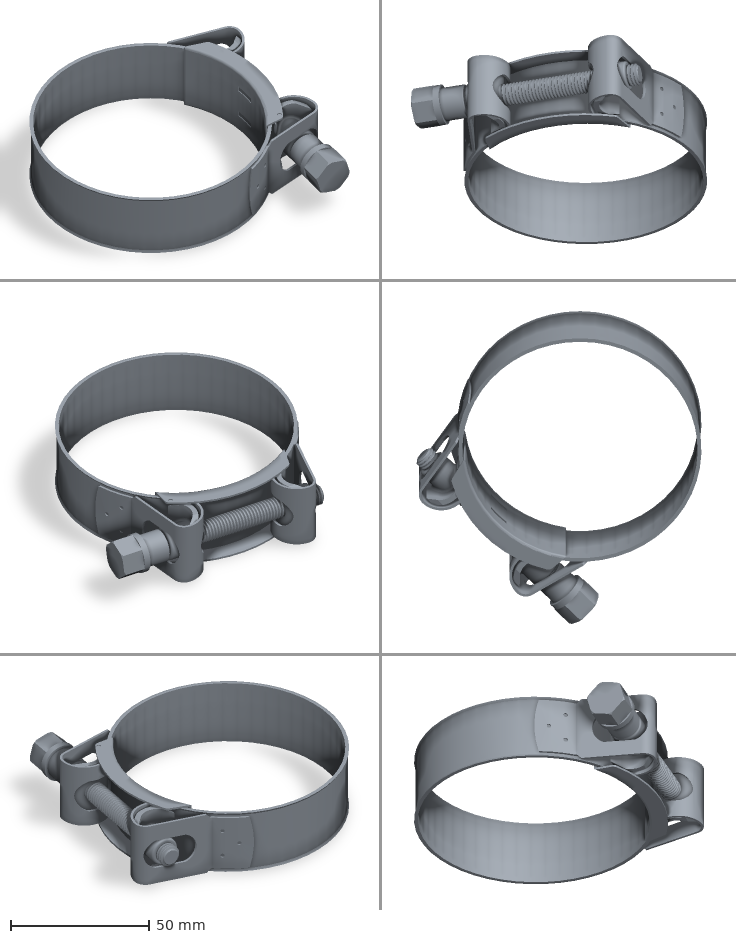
import cadquery as cq
import math

SHEET = 0.9
RING_INNER_R = 42.5
RING_OUTER_R = RING_INNER_R + SHEET
BAND_WIDTH = 25.0
LIP_FLARE = 0.5
LIP_HEIGHT = 0.9

LOOP_OUTER_R = 9.5
LOOP_INNER_R = LOOP_OUTER_R - SHEET
SMALL_OUTER_R = 4.6
SMALL_INNER_R = SMALL_OUTER_R - SHEET
LEG_TILT = 12.0
AXIS_Y = 45.9
LOOP_X = math.sqrt((RING_OUTER_R + LOOP_INNER_R) ** 2 - AXIS_Y ** 2)

TAIL_HALF_WIDTH = 10.9
TAIL_CORNER_Y = 16.7
TAIL_TIP_Y = 15.2
EAR_CHAMFER_TOP_Y = 30.3
EAR_CHAMFER_END_Y = 28.8
WELD_R = 0.8
WELD_DEPTH = 0.5
WELDS = [(25.3, 5.3), (25.3, -5.3), (20.1, 0.0)]

NUT_SLOT_WIDTH = 11.7
SPACER_SLOT_WIDTH = 12.9
LEG_SLOT_LOW_Y = 34.1
LEG_SLOT_HIGH_Y = 53.8
SLOT_END_RISE = 4.2

BRIDGE_SHEET = 0.8
BRIDGE_WIDTH = 27.6
BRIDGE_CENTER_Y = -2.7
BRIDGE_INNER_R = 43.7
BRIDGE_BEND_R = 1.0
FLANGE_OUTER_R = 47.8
FLANGE_LEFT_TOP_X = -24.1
FLANGE_LEFT_END_X = -26.9
FLANGE_RIGHT_TOP_X = 26.0
FLANGE_RIGHT_END_X = 26.4
FLANGE_CORNER_R = 2.0
BRIDGE_END_Y = 32.5
RECESS_LENGTH = 8.1
RECESS_HEIGHT = 2.0
RECESS_DEPTH = 0.3
RECESS_Z = 5.9
DIMPLE_X = 24.0
DIMPLE_Y = 39.9
DIMPLE_R = 0.9
DIMPLE_DEPTH = 0.4

SADDLE_FACE_X = 17.2
SADDLE_FACE_TIP_X = 21.2
SADDLE_BACK_X = 19.1
SADDLE_BACK_TIP_X = 24.2
SADDLE_BACK_KNEE_X = 21.3
SADDLE_BACK_KNEE = 4.9
SADDLE_HALF_LENGTH = 7.7
SADDLE_HALF_WIDTH = 11.9
NUT_SADDLE_FLAT = 5.0
SPACER_SADDLE_FLAT = 3.5
SADDLE_CHAMFER_TILT = 22.0
BOSS_END_X = 30.1
NUT_BOSS_END_D = 10.7
NUT_BOSS_ROOT_D = 11.2
SPACER_BOSS_D = 12.2
BOSS_ROUND = 0.8
BOSS_ROOT_FILLET = 0.8

THREAD_D = 7.9
THREAD_ROOT_D = 6.5
THREAD_START_X = -34.2
THREAD_LENGTH = 52.1
THREAD_TURNS = 42
THREAD_PITCH = THREAD_LENGTH / THREAD_TURNS
TIP_D = 5.8
SHOULDER_START_X = 30.8
SHOULDER_D = 12.1
SHOULDER_CHAMFER = 0.3
FLANGE_START_X = 39.5
BOLT_FLANGE_D = 14.6
HEX_START_X = 41.9
HEX_END_X = 50.1
HEX_ACROSS_FLATS = 13.1
HEX_TURN = 15.0
HEX_CHAMFER = 0.6


def polar(radius, degrees, center=(0.0, 0.0)):
    angle = math.radians(degrees)
    return (center[0] + radius * math.cos(angle), center[1] + radius * math.sin(angle))


def extrude_both(sketch, width):
    """Extrude a sketch symmetrically about its plane."""
    return sketch.extrude(width / 2, both=True)


LOOP_CENTER = (-LOOP_X, AXIS_Y)
ROOT_ANGLE = math.degrees(math.atan2(AXIS_Y, -LOOP_X))
LEG_NORMAL = 180.0 - LEG_TILT


def leg_point(start, radius):
    """Point where the leg line through start, running down its slope, reaches the radius."""
    step_x, step_y = polar(1.0, LEG_NORMAL + 90.0)
    along = start[0] * step_x + start[1] * step_y
    length = -along - math.sqrt(along ** 2 - start[0] ** 2 - start[1] ** 2 + radius ** 2)
    return (start[0] + length * step_x, start[1] + length * step_y)


def ring_sector(inner_r, outer_r, start, end, width):
    """Part of a ring around Z between two angles in degrees."""
    middle = (start + end) / 2
    sketch = (
        cq.Workplane("XY")
        .moveTo(*polar(inner_r, start))
        .lineTo(*polar(outer_r, start))
        .threePointArc(polar(outer_r, middle), polar(outer_r, end))
        .lineTo(*polar(inner_r, end))
        .threePointArc(polar(inner_r, middle), polar(inner_r, start))
        .close()
    )
    return extrude_both(sketch, width)


def make_ring():
    """Open ring with flared rims; the gap lies between the loop roots."""
    half = BAND_WIDTH / 2
    section = [
        (RING_INNER_R, -half),
        (RING_OUTER_R + LIP_FLARE, -half),
        (RING_OUTER_R, -half + LIP_HEIGHT),
        (RING_OUTER_R, half - LIP_HEIGHT),
        (RING_OUTER_R + LIP_FLARE, half),
        (RING_INNER_R, half),
    ]
    opening = 2 * ROOT_ANGLE - 180.0
    ring = cq.Workplane("XZ").polyline(section).close().revolve(360 - opening, (0, 0), (0, 1))
    return ring.rotate((0, 0, 0), (0, 0, 1), ROOT_ANGLE)


def slot_cutter(low_y, high_y, width, start_x, length):
    """Slot along X with arched ends."""
    half = width / 2
    sketch = (
        cq.Workplane("YZ", origin=(start_x, 0, 0))
        .moveTo(low_y + SLOT_END_RISE, -half)
        .lineTo(high_y - SLOT_END_RISE, -half)
        .threePointArc((high_y, 0), (high_y - SLOT_END_RISE, half))
        .lineTo(low_y + SLOT_END_RISE, half)
        .threePointArc((low_y, 0), (low_y + SLOT_END_RISE, -half))
        .close()
    )
    return sketch.extrude(length)


def loop_strip():
    """Arcs and leg of the left loop, as a strip of full band width."""
    small_center = (-LOOP_X, AXIS_Y + LOOP_OUTER_R - SMALL_OUTER_R)
    root = ROOT_ANGLE - 180.0
    leg_top_outer = polar(SMALL_OUTER_R, LEG_NORMAL, small_center)
    leg_top_inner = polar(SMALL_INNER_R, LEG_NORMAL, small_center)
    shoulder = (90.0 + LEG_NORMAL) / 2
    foot_r = RING_INNER_R + SHEET / 2
    sketch = (
        cq.Workplane("XY")
        .moveTo(*polar(LOOP_OUTER_R, root, LOOP_CENTER))
        .threePointArc(polar(LOOP_OUTER_R, 0, LOOP_CENTER), polar(LOOP_OUTER_R, 90, LOOP_CENTER))
        .threePointArc(polar(SMALL_OUTER_R, shoulder, small_center), leg_top_outer)
        .lineTo(*leg_point(leg_top_outer, foot_r))
        .lineTo(*leg_point(leg_top_inner, foot_r))
        .lineTo(*leg_top_inner)
        .threePointArc(polar(SMALL_INNER_R, shoulder, small_center), polar(LOOP_INNER_R, 90, LOOP_CENTER))
        .threePointArc(polar(LOOP_INNER_R, 0, LOOP_CENTER), polar(LOOP_INNER_R, root, LOOP_CENTER))
        .close()
    )
    tail_r = RING_OUTER_R + SHEET
    foot_x, foot_y = leg_point(leg_top_outer, tail_r)
    tail_start = math.degrees(math.atan2(foot_y, foot_x))
    tail_end = 180.0 - math.degrees(math.asin((TAIL_TIP_Y - SHEET) / tail_r))
    tail = ring_sector(RING_OUTER_R, tail_r, tail_start, tail_end, BAND_WIDTH)
    return extrude_both(sketch, BAND_WIDTH).union(tail)


def ear_outline():
    """Block along X that trims the loop to full width and its tail to a narrow rounded tongue."""
    half = BAND_WIDTH / 2
    top_y = AXIS_Y + 2 * LOOP_OUTER_R
    sketch = (
        cq.Workplane("YZ", origin=(-2 * RING_OUTER_R, 0, 0))
        .moveTo(top_y, -half)
        .lineTo(EAR_CHAMFER_TOP_Y, -half)
        .lineTo(EAR_CHAMFER_END_Y, -TAIL_HALF_WIDTH)
        .lineTo(TAIL_CORNER_Y, -TAIL_HALF_WIDTH)
        .threePointArc((TAIL_TIP_Y, 0), (TAIL_CORNER_Y, TAIL_HALF_WIDTH))
        .lineTo(EAR_CHAMFER_END_Y, TAIL_HALF_WIDTH)
        .lineTo(EAR_CHAMFER_TOP_Y, half)
        .lineTo(top_y, half)
        .close()
    )
    return sketch.extrude(2 * RING_OUTER_R)


def weld_dimples():
    """Blind round marks, drilled radially into the left tail."""
    tail_r = RING_OUTER_R + SHEET
    dimples = cq.Workplane("XY")
    for y, z in WELDS:
        angle = 180.0 - math.degrees(math.asin(y / tail_r))
        dimple = (
            cq.Workplane("YZ", origin=(tail_r - WELD_DEPTH, 0, z))
            .circle(WELD_R)
            .extrude(2 * WELD_DEPTH)
            .rotate((0, 0, 0), (0, 0, 1), angle)
        )
        dimples = dimples.add(dimple)
    return dimples.combine()


def make_loop(slot_width):
    """Left loop with its two slots and its trimmed tail."""
    loop = loop_strip().intersect(ear_outline())
    reach = 2 * LOOP_OUTER_R
    leg_slot = slot_cutter(LEG_SLOT_LOW_Y, LEG_SLOT_HIGH_Y, slot_width, -LOOP_X - reach, reach)
    root_slot = slot_cutter(
        AXIS_Y - SADDLE_HALF_LENGTH, AXIS_Y + SADDLE_HALF_LENGTH, slot_width, -LOOP_X, reach
    )
    return loop.cut(leg_slot).cut(root_slot)


def make_band():
    left_loop = make_loop(NUT_SLOT_WIDTH)
    right_loop = make_loop(SPACER_SLOT_WIDTH).mirror("YZ")
    band = make_ring().union(left_loop).union(right_loop)
    return band.cut(weld_dimples()).cut(weld_dimples().mirror("YZ"))


def bridge_arc_y(radius, x):
    return BRIDGE_CENTER_Y + math.sqrt(radius ** 2 - x ** 2)


def flange_top_y(x):
    return math.sqrt(FLANGE_OUTER_R ** 2 - x ** 2)


def make_bridge():
    """Curved channel: plate inside the ring, one flange above and one below the band."""
    sketch = (
        cq.Workplane("XY")
        .moveTo(FLANGE_LEFT_END_X, bridge_arc_y(BRIDGE_INNER_R, FLANGE_LEFT_END_X))
        .lineTo(FLANGE_LEFT_TOP_X, flange_top_y(FLANGE_LEFT_TOP_X))
        .threePointArc(
            (0, FLANGE_OUTER_R), (FLANGE_RIGHT_TOP_X, flange_top_y(FLANGE_RIGHT_TOP_X))
        )
        .lineTo(FLANGE_RIGHT_END_X, bridge_arc_y(BRIDGE_INNER_R, FLANGE_RIGHT_END_X))
        .threePointArc(
            (0, bridge_arc_y(BRIDGE_INNER_R, 0)),
            (FLANGE_LEFT_END_X, bridge_arc_y(BRIDGE_INNER_R, FLANGE_LEFT_END_X)),
        )
        .close()
    )
    bridge = extrude_both(sketch, BRIDGE_WIDTH)
    flange_corners = cq.selectors.BoxSelector(
        (-FLANGE_OUTER_R, flange_top_y(FLANGE_RIGHT_TOP_X) - BRIDGE_SHEET, -BRIDGE_WIDTH),
        (FLANGE_OUTER_R, FLANGE_OUTER_R, BRIDGE_WIDTH),
    )
    bridge = bridge.edges("|Z").edges(flange_corners).fillet(FLANGE_CORNER_R)
    plate_bottom = cq.selectors.NearestToPointSelector((0, bridge_arc_y(BRIDGE_INNER_R, 0), 0))
    bridge = bridge.faces(plate_bottom).edges("%CIRCLE").fillet(BRIDGE_BEND_R)

    outside = extrude_both(
        cq.Workplane("XY").center(0, FLANGE_OUTER_R / 2).rect(2 * FLANGE_OUTER_R, 2 * FLANGE_OUTER_R),
        BRIDGE_WIDTH - 2 * BRIDGE_SHEET,
    )
    under_plate = extrude_both(
        cq.Workplane("XY").center(0, BRIDGE_CENTER_Y).circle(BRIDGE_INNER_R + BRIDGE_SHEET), BRIDGE_WIDTH
    )
    bridge = bridge.cut(outside.cut(under_plate))

    below_ends = extrude_both(
        cq.Workplane("XY").center(0, BRIDGE_END_Y / 2).rect(2 * FLANGE_OUTER_R, BRIDGE_END_Y), BRIDGE_WIDTH
    )
    recess_depth_limit = extrude_both(
        cq.Workplane("XY").center(0, BRIDGE_CENTER_Y).circle(BRIDGE_INNER_R + RECESS_DEPTH), BRIDGE_WIDTH
    )
    recesses = (
        cq.Workplane("XZ")
        .pushPoints([(0, -RECESS_Z), (0, RECESS_Z)])
        .rect(RECESS_LENGTH, RECESS_HEIGHT)
        .extrude(-FLANGE_OUTER_R)
        .intersect(recess_depth_limit)
    )
    dimple = (
        cq.Workplane("XY", origin=(DIMPLE_X, DIMPLE_Y, BRIDGE_WIDTH / 2 - DIMPLE_DEPTH))
        .circle(DIMPLE_R)
        .extrude(DIMPLE_DEPTH)
    )
    return bridge.cut(below_ends).cut(recesses).cut(dimple)


def saddle_envelope():
    """Everything on the hollow side of the convex saddle face."""
    sketch = (
        cq.Workplane("XY")
        .moveTo(-SADDLE_FACE_TIP_X, AXIS_Y + SADDLE_HALF_LENGTH)
        .threePointArc((-SADDLE_FACE_X, AXIS_Y), (-SADDLE_FACE_TIP_X, AXIS_Y - SADDLE_HALF_LENGTH))
        .lineTo(-BOSS_END_X, AXIS_Y - SADDLE_HALF_LENGTH)
        .lineTo(-BOSS_END_X, AXIS_Y + SADDLE_HALF_LENGTH)
        .close()
    )
    return extrude_both(sketch, BAND_WIDTH)


def make_saddle(flat):
    """Curved plate with its four corners chamfered outside the flat stretch."""
    sketch = (
        cq.Workplane("XY")
        .moveTo(-SADDLE_FACE_TIP_X, AXIS_Y + SADDLE_HALF_LENGTH)
        .threePointArc((-SADDLE_FACE_X, AXIS_Y), (-SADDLE_FACE_TIP_X, AXIS_Y - SADDLE_HALF_LENGTH))
        .lineTo(-SADDLE_BACK_TIP_X, AXIS_Y - SADDLE_HALF_LENGTH)
        .lineTo(-SADDLE_BACK_KNEE_X, AXIS_Y - SADDLE_BACK_KNEE)
        .threePointArc((-SADDLE_BACK_X, AXIS_Y), (-SADDLE_BACK_KNEE_X, AXIS_Y + SADDLE_BACK_KNEE))
        .lineTo(-SADDLE_BACK_TIP_X, AXIS_Y + SADDLE_HALF_LENGTH)
        .close()
    )
    chamfer_drop = (SADDLE_HALF_LENGTH - flat) * math.tan(math.radians(SADDLE_CHAMFER_TILT))
    tip_z = SADDLE_HALF_WIDTH - chamfer_drop
    quarter = [(SADDLE_HALF_LENGTH, tip_z), (flat, SADDLE_HALF_WIDTH)]
    upper = quarter + [(-y, z) for y, z in reversed(quarter)]
    lower = [(-y, -z) for y, z in upper]
    chamfered = (
        cq.Workplane("YZ", origin=(-BOSS_END_X, AXIS_Y, 0))
        .polyline(upper + lower)
        .close()
        .extrude(BOSS_END_X)
    )
    return extrude_both(sketch, 2 * SADDLE_HALF_WIDTH).intersect(chamfered)


def make_trunnion(end_diameter, root_diameter, saddle_flat):
    """Left trunnion; its boss tapers from the saddle to the rounded outer end."""
    boss_profile = [
        (-BOSS_END_X, 0),
        (-BOSS_END_X, end_diameter / 2),
        (-SADDLE_FACE_X, root_diameter / 2),
        (-SADDLE_FACE_X, 0),
    ]
    boss = (
        cq.Workplane("XY", origin=(0, AXIS_Y, 0))
        .polyline(boss_profile)
        .close()
        .revolve(360, (0, 0), (1, 0))
        .faces("<X")
        .edges()
        .fillet(BOSS_ROUND)
    )
    bore = (
        cq.Workplane("YZ", origin=(-BOSS_END_X, AXIS_Y, 0)).circle(THREAD_D / 2).extrude(BOSS_END_X)
    )
    trunnion = boss.intersect(saddle_envelope()).union(make_saddle(saddle_flat))
    boss_middle = ((-BOSS_END_X - SADDLE_BACK_X) / 2, AXIS_Y, 0)
    root_edges = cq.selectors.BoxSelector(
        (-SADDLE_BACK_TIP_X, AXIS_Y - SADDLE_HALF_LENGTH, -SADDLE_HALF_WIDTH),
        (-SADDLE_FACE_X, AXIS_Y + SADDLE_HALF_LENGTH, SADDLE_HALF_WIDTH),
    )
    trunnion = (
        trunnion.faces(cq.selectors.NearestToPointSelector(boss_middle))
        .edges(root_edges)
        .fillet(BOSS_ROOT_FILLET)
    )
    return trunnion.cut(bore)


def make_bolt():
    """Threaded shank with shoulder, collar and hexagon head."""
    quarter_pitch = THREAD_PITCH / 4
    crest_r = THREAD_D / 2
    root_r = THREAD_ROOT_D / 2
    shank = [(THREAD_START_X, 0), (THREAD_START_X, TIP_D / 2)]
    for turn in range(1, THREAD_TURNS + 1):
        turn_x = THREAD_START_X + turn * THREAD_PITCH
        shank.append((turn_x - 3 * quarter_pitch, root_r))
        shank.append((turn_x - 2 * quarter_pitch, root_r))
        shank.append((turn_x - quarter_pitch, crest_r))
        shank.append((turn_x, crest_r))
    shank += [
        (SHOULDER_START_X, crest_r),
        (SHOULDER_START_X, SHOULDER_D / 2 - SHOULDER_CHAMFER),
        (SHOULDER_START_X + SHOULDER_CHAMFER, SHOULDER_D / 2),
        (FLANGE_START_X, SHOULDER_D / 2),
        (FLANGE_START_X, BOLT_FLANGE_D / 2),
        (HEX_START_X, BOLT_FLANGE_D / 2),
        (HEX_START_X, 0),
    ]
    body = (
        cq.Workplane("XY", origin=(0, AXIS_Y, 0)).polyline(shank).close().revolve(360, (0, 0), (1, 0))
    )
    corner_d = HEX_ACROSS_FLATS / math.cos(math.radians(30))
    length = HEX_END_X - HEX_START_X
    head_plane = cq.Workplane("YZ", origin=(HEX_START_X, AXIS_Y, 0))
    round_head = head_plane.circle(corner_d / 2).extrude(length).faces(">X").edges().chamfer(HEX_CHAMFER)
    head = (
        head_plane.polygon(6, corner_d)
        .extrude(length)
        .rotate((0, AXIS_Y, 0), (1, AXIS_Y, 0), -HEX_TURN)
        .intersect(round_head)
    )
    return body.union(head)


band = make_band()
bridge = make_bridge()
nut = make_trunnion(NUT_BOSS_END_D, NUT_BOSS_ROOT_D, NUT_SADDLE_FLAT)
spacer = make_trunnion(SPACER_BOSS_D, SPACER_BOSS_D, SPACER_SADDLE_FLAT).mirror("YZ")
bolt = make_bolt()

result = cq.Compound.makeCompound([body.solids().val() for body in (band, bridge, nut, spacer, bolt)])